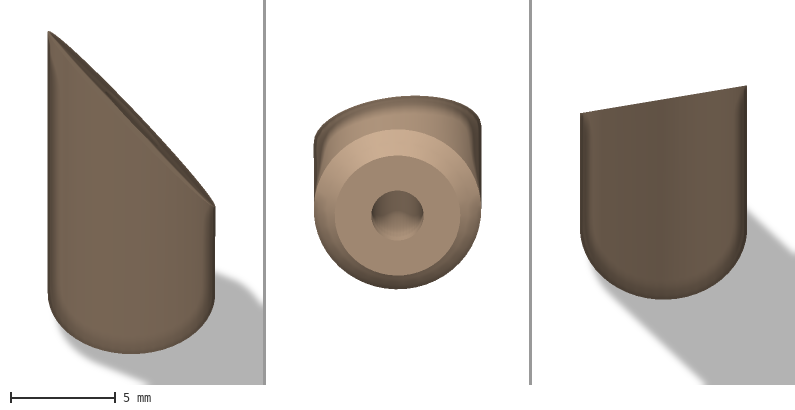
import cadquery as cq
import math

length = 19.99
diameter = 8.0
bore_diameter = 2.5
foot_chamfer = 1.0
slant_angle = 60.0

radius = diameter / 2
slant_rise = diameter * math.tan(math.radians(slant_angle))
low_edge_height = length - slant_rise


def pin_body():
    """Solid cylinder along Z with its lower rim chamfered."""
    cylinder = cq.Workplane("XY").circle(radius).extrude(length)
    return cylinder.faces("<Z").chamfer(foot_chamfer)


def tip_waste():
    """Wedge above the slanted face, which falls from -Y to +Y."""
    return (
        cq.Workplane("YZ")
        .moveTo(-radius, length)
        .lineTo(radius, low_edge_height)
        .lineTo(radius, length)
        .close()
        .extrude(radius, both=True)
    )


def bore():
    """Through hole on the pin axis."""
    return cq.Workplane("XY").circle(bore_diameter / 2).extrude(length)


result = pin_body().cut(tip_waste()).cut(bore())